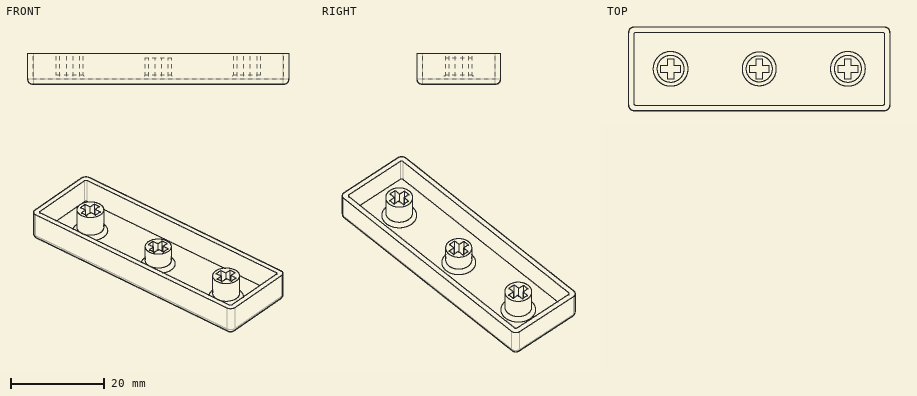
import cadquery as cq

length = 56.15
width = 18.0
height = 6.7
wall = 1.2
floor = 1.2
corner_radius = 1.25
bottom_radius = 1.2
inner_corner_radius = 0.4

post_pitch = 19.05
outer_post_diameter = 5.8
middle_post_diameter = 5.6
middle_post_drop = 1.0
flare = 0.85

cross_span = 4.25
cross_arm_x = 1.5
cross_arm_y = 1.4


def make_tray():
    body = (
        cq.Workplane("XY")
        .rect(length, width)
        .extrude(height)
        .edges("|Z")
        .fillet(corner_radius)
        .faces("<Z")
        .edges()
        .fillet(bottom_radius)
    )
    cavity = (
        cq.Workplane("XY")
        .workplane(offset=floor)
        .rect(length - 2 * wall, width - 2 * wall)
        .extrude(height - floor)
        .edges("|Z")
        .fillet(inner_corner_radius)
    )
    return body.cut(cavity)


def make_post(x, diameter, top):
    """Round post with a conical flare at its foot, as a revolved profile."""
    radius = diameter / 2
    foot_radius = radius + flare
    profile = (
        cq.Workplane("XZ")
        .lineTo(foot_radius, 0)
        .lineTo(foot_radius, floor)
        .lineTo(radius, floor + flare)
        .lineTo(radius, top)
        .lineTo(0, top)
        .close()
    )
    return profile.revolve(360, (0, 0, 0), (0, 1, 0)).translate((x, 0, 0))


def make_socket(x, top):
    """Cross-shaped cutter reaching from the post top down to the tray floor."""
    depth = top - floor
    base = cq.Workplane("XY", origin=(x, 0, floor))
    along_x = base.rect(cross_span, cross_arm_x).extrude(depth)
    along_y = base.rect(cross_arm_y, cross_span).extrude(depth)
    return along_x.union(along_y)


result = make_tray()
for x, diameter, top in (
    (-post_pitch, outer_post_diameter, height),
    (0, middle_post_diameter, height - middle_post_drop),
    (post_pitch, outer_post_diameter, height),
):
    result = result.union(make_post(x, diameter, top)).cut(make_socket(x, top))